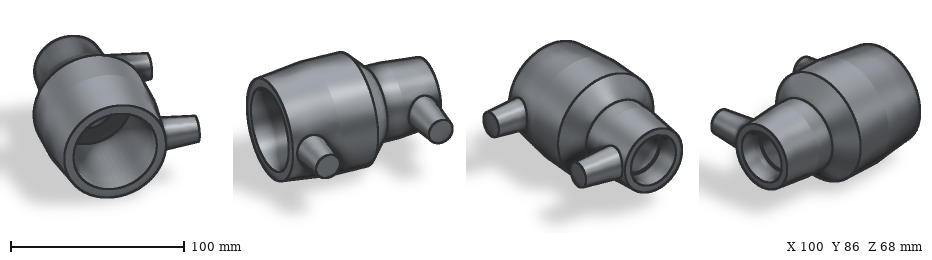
import cadquery as cq
import math


length = 100.0
small_taper_end = 24.0
neck_end = 35.4
shoulder_end = 47.0
barrel_end = 70.7

small_end_diameter = 40.8
neck_diameter = 45.0
barrel_diameter = 68.0
large_end_diameter = 61.2

through_diameter = 28.8
small_socket_diameter = 32.0
small_socket_depth = 14.5
small_socket_taper_start = 10.5
small_socket_floor_diameter = 31.3
large_socket_diameter = 50.0
large_socket_depth = length - shoulder_end

post_tip_diameter = 15.3
post_draft_angle = 5.2
post_inset = 12.1
small_post_height = 44.8
large_post_height = 52.0
small_post_root = 18.0
large_post_root = 28.0


def make_body():
    """Revolve the solid outer profile about the X axis."""
    return (
        cq.Workplane("XY")
        .moveTo(0, 0)
        .lineTo(0, small_end_diameter / 2)
        .lineTo(small_taper_end, neck_diameter / 2)
        .lineTo(neck_end, neck_diameter / 2)
        .lineTo(shoulder_end, barrel_diameter / 2)
        .lineTo(barrel_end, barrel_diameter / 2)
        .lineTo(length, large_end_diameter / 2)
        .lineTo(length, 0)
        .close()
        .revolve(360, (0, 0, 0), (1, 0, 0))
    )


def make_bore(start, depth, diameter):
    """Cylinder along the X axis, running toward +X from start."""
    return cq.Workplane("YZ", origin=(start, 0, 0)).circle(diameter / 2).extrude(depth)


def make_small_socket():
    """Straight mouth followed by a slight taper down to the pipe stop."""
    return (
        cq.Workplane("XY")
        .moveTo(0, 0)
        .lineTo(0, small_socket_diameter / 2)
        .lineTo(small_socket_taper_start, small_socket_diameter / 2)
        .lineTo(small_socket_depth, small_socket_floor_diameter / 2)
        .lineTo(small_socket_depth, 0)
        .close()
        .revolve(360, (0, 0, 0), (1, 0, 0))
    )


def make_post(x, root, tip):
    """Post that narrows toward its tip in +Y."""
    height = tip - root
    tip_radius = post_tip_diameter / 2
    root_radius = tip_radius + height * math.tan(math.radians(post_draft_angle))
    return cq.Workplane(
        cq.Solid.makeCone(
            root_radius, tip_radius, height, cq.Vector(x, root, 0), cq.Vector(0, 1, 0)
        )
    )


body = make_body()
body = body.union(make_post(post_inset, small_post_root, small_post_height))
body = body.union(make_post(length - post_inset, large_post_root, large_post_height))

body = body.cut(make_bore(0, length, through_diameter))
body = body.cut(make_small_socket())
result = body.cut(make_bore(length - large_socket_depth, large_socket_depth, large_socket_diameter))